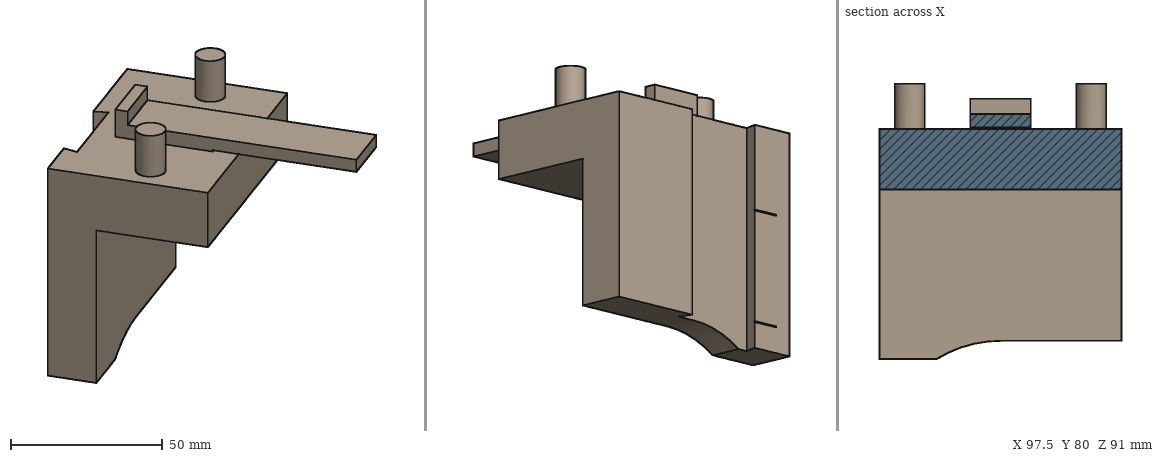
import cadquery as cq
import math

body_width = 80.0
body_height = 76.0
body_length = 56.0
leg_thickness = 17.0
arm_thickness = 20.0

clearance_height = 6.0
clearance_radius = 40.0

slot_center_y = -9.0
slot_floor_width = 31.8
slot_depth = 5.0
slot_flank_angle = 14.0

groove_heights = (9.0, 47.0)
groove_length = 10.0
groove_width = 0.3
groove_depth = 0.3

pin_diameter = 10.0
pin_height = 15.0
pin_x = 32.5
pin_spacing = 60.0

lever_start_x = 13.2
lever_end_x = 97.5
lever_width = 20.0
lever_thickness = 5.0
lever_lip_height = 10.0
lever_lip_length = 4.3
lever_foot_length = 34.0
lever_relief = 0.5

half_width = body_width / 2
slot_mouth_width = slot_floor_width - 2 * slot_depth * math.tan(math.radians(slot_flank_angle))


def make_bracket():
    """L-shaped profile in XZ, extruded across the full width."""
    return (
        cq.Workplane("XZ")
        .moveTo(0, 0)
        .lineTo(leg_thickness, 0)
        .lineTo(leg_thickness, body_height - arm_thickness)
        .lineTo(body_length, body_height - arm_thickness)
        .lineTo(body_length, body_height)
        .lineTo(0, body_height)
        .close()
        .extrude(half_width, both=True)
    )


def make_clearance():
    """Cutter under the leg: an arc up from the base, then a flat out to the +Y side."""
    arc_center_z = clearance_height - clearance_radius
    arc_start_y = -math.sqrt(clearance_radius**2 - arc_center_z**2)
    arc_half_angle = math.atan2(-arc_start_y, -arc_center_z) / 2
    arc_middle = (
        -clearance_radius * math.sin(arc_half_angle),
        arc_center_z + clearance_radius * math.cos(arc_half_angle),
    )
    return (
        cq.Workplane("YZ")
        .moveTo(arc_start_y, 0)
        .threePointArc(arc_middle, (0, clearance_height))
        .lineTo(half_width, clearance_height)
        .lineTo(half_width, 0)
        .close()
        .extrude(leg_thickness)
    )


def make_slot():
    """Dovetail cutter over the full height, wider at its floor than at its mouth."""
    return (
        cq.Workplane("XY")
        .moveTo(0, slot_center_y - slot_mouth_width / 2)
        .lineTo(slot_depth, slot_center_y - slot_floor_width / 2)
        .lineTo(slot_depth, slot_center_y + slot_floor_width / 2)
        .lineTo(0, slot_center_y + slot_mouth_width / 2)
        .close()
        .extrude(body_height)
    )


def make_groove(height):
    """Fine groove in the outer face, running from the slot mouth toward -Y."""
    groove_end_y = slot_center_y - slot_mouth_width / 2 - groove_length
    return (
        cq.Workplane("XY")
        .box(groove_depth, groove_length, groove_width, centered=(False, False, True))
        .translate((0, groove_end_y, height))
    )


def make_pins():
    return (
        cq.Workplane("XY", origin=(pin_x, 0, body_height))
        .rarray(1, pin_spacing, 1, 2)
        .circle(pin_diameter / 2)
        .extrude(pin_height)
    )


def make_lever():
    """Flat lever with a raised lip at its inner end and a shallow relief beyond its foot."""
    foot_end_x = lever_start_x + lever_foot_length
    lip_end_x = lever_start_x + lever_lip_length
    lever_top = body_height + lever_thickness
    lip_top = body_height + lever_lip_height
    return (
        cq.Workplane("XZ")
        .moveTo(lever_start_x, body_height)
        .lineTo(foot_end_x, body_height)
        .lineTo(foot_end_x, body_height + lever_relief)
        .lineTo(lever_end_x, body_height + lever_relief)
        .lineTo(lever_end_x, lever_top)
        .lineTo(lip_end_x, lever_top)
        .lineTo(lip_end_x, lip_top)
        .lineTo(lever_start_x, lip_top)
        .close()
        .extrude(lever_width / 2, both=True)
    )


bracket = make_bracket().cut(make_clearance()).cut(make_slot())
for groove_height in groove_heights:
    bracket = bracket.cut(make_groove(groove_height))

result = bracket.union(make_pins()).union(make_lever())